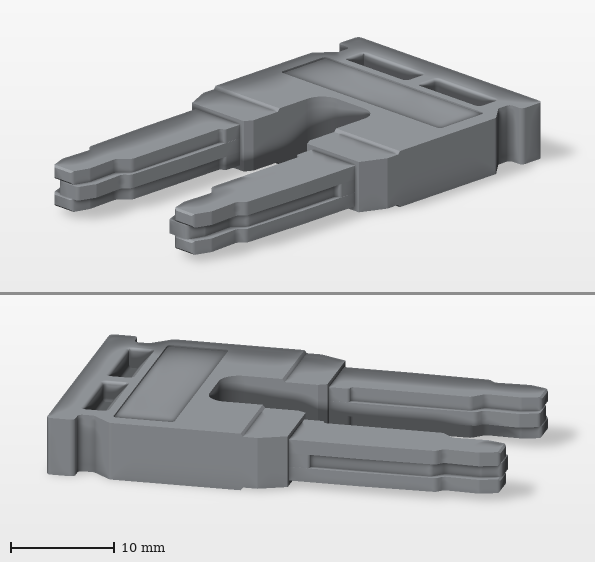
import cadquery as cq
TOTAL_WIDTH = 25.4
TOTAL_LENGTH = 44.52
HANDLE_THICKNESS = 5.8
HALF_WIDTH = TOTAL_WIDTH / 2
REAR_Y = TOTAL_LENGTH / 2
TIP_Y = -TOTAL_LENGTH / 2
TOP_Z = HANDLE_THICKNESS / 2

LIP_LENGTH = 2.8
NOTCH_DEPTH = 1.7
NOTCH_FLAT_END = 4.35
NOTCH_RAMP_END = 6.33
LIP_ROUND = 0.45
NOTCH_RAMP_ROUND = 0.5
HANDLE_LENGTH = 23.8
LEG_OUTER_BEVEL = (1.2, 2.7)
LEG_INNER_BEVEL = (0.45, 0.85)
GAP_HALF_WIDTH = 3.9
GAP_START = 13.58
GAP_ROUND = 2.0

STEP_START = 19.4
STEP_RUN = 0.25
STEP_HEIGHT = 0.3

WINDOW_START = 2.5
WINDOW_WIDTH = 2.85
WINDOW_INNER_X = 0.64
WINDOW_OUTER_X = 9.42
WINDOW_DEPTH = 2.0
WINDOW_MOUTH_ROUND = 0.6
WINDOW_RIM_ROUND = 0.3
WINDOW_RAMP = 1.0
WINDOW_FLOOR_ROUND = 0.28

LABEL_HALF_WIDTH = 11.0
LABEL_START = 6.2
LABEL_END = 12.3
LABEL_DEPTH = 0.2
LABEL_CORNER_ROUND = 0.4

PRONG_OUTER_X = 11.0
PRONG_TAPERED_X = 10.82
PRONG_INNER_X = 4.9
PRONG_STEP_X = 5.46
PRONG_AXIS_X = 7.94
PRONG_TAPER_START = 30.7
PRONG_STEP_START = 25.85
PRONG_STEP_ROUND = 0.27
NECK_OUTER_START = 38.4
NECK_INNER_START = 37.83
NECK_END = 39.03
NECK_OUTER_X = 10.12
NECK_INNER_X = 6.6
NECK_ROUND = 0.6
NOSE_START = 42.6
NOSE_OUTER_X = 10.28
NOSE_INNER_X = 6.48
TIP_OUTER_X = 9.6
TIP_INNER_X = 7.06
NOSE_ROUND = 0.4
LAYER_THICKNESS = 1.4
PRONG_OVERLAP = 1.0
TIP_BEVEL = 0.2


def along(distance):
    """Y coordinate at a distance from the rear edge."""
    return REAR_Y - distance


def both_sides(shape):
    """A shape together with its mirror image about X = 0."""
    return shape.union(shape.mirror("YZ"))


def round_vertical_edges(body, points, radius):
    """Round the vertical edges of a body that pass through the given XY points."""
    reach = 0.05
    for x, y in points:
        selector = cq.selectors.BoxSelector(
            (x - reach, y - reach, -TOP_Z), (x + reach, y + reach, TOP_Z)
        )
        body = body.edges("|Z").edges(selector).fillet(radius)
    return body


def handle_body():
    bevel_x, bevel_y = LEG_OUTER_BEVEL
    inner_x, inner_y = LEG_INNER_BEVEL
    notch_x = HALF_WIDTH - NOTCH_DEPTH
    half_outline = [
        (0, REAR_Y),
        (HALF_WIDTH, REAR_Y),
        (HALF_WIDTH, along(LIP_LENGTH)),
        (notch_x, along(LIP_LENGTH)),
        (notch_x, along(NOTCH_FLAT_END)),
        (HALF_WIDTH, along(NOTCH_RAMP_END)),
        (HALF_WIDTH, along(HANDLE_LENGTH - bevel_y)),
        (HALF_WIDTH - bevel_x, along(HANDLE_LENGTH)),
        (GAP_HALF_WIDTH + inner_x, along(HANDLE_LENGTH)),
        (GAP_HALF_WIDTH, along(HANDLE_LENGTH - inner_y)),
        (GAP_HALF_WIDTH, along(GAP_START)),
        (0, along(GAP_START)),
    ]
    half = cq.Workplane("XY").polyline(half_outline).close().extrude(TOP_Z, both=True)
    half = round_vertical_edges(half, half_outline[1:4], LIP_ROUND)
    half = round_vertical_edges(half, half_outline[4:6], NOTCH_RAMP_ROUND)
    half = round_vertical_edges(half, half_outline[10:11], GAP_ROUND)
    return both_sides(half)


def leg_step_cut():
    """Material removed from the upper and lower faces at the ends of the legs."""
    profile = [
        (along(STEP_START), TOP_Z),
        (along(STEP_START + STEP_RUN), TOP_Z - STEP_HEIGHT),
        (along(HANDLE_LENGTH), TOP_Z - STEP_HEIGHT),
        (along(HANDLE_LENGTH), TOP_Z),
    ]
    upper = cq.Workplane("YZ").polyline(profile).close().extrude(HALF_WIDTH, both=True)
    return upper.union(upper.mirror("XY"))


def window_plan(inset, height):
    """Rounded rectangle of the +X window, shrunk on all sides and extruded down from the top face."""
    length = WINDOW_OUTER_X - WINDOW_INNER_X
    centre_x = (WINDOW_OUTER_X + WINDOW_INNER_X) / 2
    centre_y = along(WINDOW_START + WINDOW_WIDTH / 2)
    return (
        cq.Workplane("XY", origin=(centre_x, centre_y, TOP_Z - height))
        .rect(length - 2 * inset, WINDOW_WIDTH - 2 * inset)
        .extrude(height)
        .edges("|Z")
        .fillet(WINDOW_MOUTH_ROUND - inset)
    )


def window_flare():
    """Opening with a convex rounded rim, as deep as the rim radius."""
    opening = window_plan(WINDOW_RIM_ROUND, 2 * WINDOW_RIM_ROUND)
    mouth = window_plan(0, WINDOW_RIM_ROUND)
    margin = 1.0
    frame = window_plan(-margin, 2 * WINDOW_RIM_ROUND).cut(opening)
    rim = cq.selectors.BoxSelector(
        (WINDOW_INNER_X, along(WINDOW_START + WINDOW_WIDTH), 0),
        (WINDOW_OUTER_X, along(WINDOW_START), 2 * TOP_Z),
    )
    frame = frame.faces(">Z").edges(rim).fillet(WINDOW_RIM_ROUND)
    return mouth.cut(frame)


def window_pocket():
    """Pocket with a 45 degree ramp in front; its floor is rounded except along the outer wall."""
    inner_x = WINDOW_INNER_X + WINDOW_RIM_ROUND
    outer_x = WINDOW_OUTER_X - WINDOW_RIM_ROUND
    rear = along(WINDOW_START) - WINDOW_RIM_ROUND
    front = along(WINDOW_START + WINDOW_WIDTH)
    floor_z = TOP_Z - WINDOW_DEPTH
    section = [
        (rear, TOP_Z),
        (front, TOP_Z),
        (front + WINDOW_RAMP, TOP_Z - WINDOW_RAMP),
        (front + WINDOW_RAMP, floor_z),
        (rear, floor_z),
    ]
    pocket = (
        cq.Workplane("YZ", origin=(inner_x, 0, 0)).polyline(section).close().extrude(outer_x - inner_x)
    )
    pocket = round_vertical_edges(pocket, [(inner_x, rear)], WINDOW_MOUTH_ROUND - WINDOW_RIM_ROUND)
    pocket = pocket.faces("<Z").edges("<X or |X").fillet(WINDOW_FLOOR_ROUND)
    return pocket.intersect(window_plan(0, WINDOW_DEPTH))


def window_cut():
    return both_sides(window_pocket().union(window_flare()))


def label_cut():
    return (
        cq.Workplane("XY", origin=(0, along((LABEL_START + LABEL_END) / 2), TOP_Z - LABEL_DEPTH))
        .rect(2 * LABEL_HALF_WIDTH, LABEL_END - LABEL_START)
        .extrude(LABEL_DEPTH)
        .edges("|Z")
        .fillet(LABEL_CORNER_ROUND)
    )


def prong_sheet():
    """One sheet of the +X prong, centred on its own mid-plane."""
    root = along(HANDLE_LENGTH - PRONG_OVERLAP)
    step_y = along(PRONG_STEP_START)
    step_corners = [
        (PRONG_STEP_X, step_y),
        (PRONG_INNER_X, step_y),
    ]
    neck_corners = [
        (PRONG_TAPERED_X, along(NECK_OUTER_START)),
        (NECK_OUTER_X, along(NECK_END)),
        (NECK_INNER_X, along(NECK_END)),
        (PRONG_STEP_X, along(NECK_INNER_START)),
    ]
    nose_corners = [
        (NOSE_OUTER_X, along(NOSE_START)),
        (TIP_OUTER_X, TIP_Y),
        (TIP_INNER_X, TIP_Y),
        (NOSE_INNER_X, along(NOSE_START)),
    ]
    outline = [
        (PRONG_OUTER_X, root),
        (PRONG_OUTER_X, along(PRONG_TAPER_START)),
        *neck_corners[:2],
        *nose_corners,
        *neck_corners[2:],
        *step_corners,
        (PRONG_INNER_X, root),
    ]
    sheet = cq.Workplane("XY").polyline(outline).close().extrude(LAYER_THICKNESS / 2, both=True)
    sheet = round_vertical_edges(sheet, step_corners, PRONG_STEP_ROUND)
    sheet = round_vertical_edges(sheet, neck_corners, NECK_ROUND)
    return round_vertical_edges(sheet, nose_corners, NOSE_ROUND)


def tip_bevel_cut():
    """Wedges that bevel the upper and lower edges at the tip of a sheet."""
    face_z = LAYER_THICKNESS / 2
    wedge = [
        (TIP_Y, face_z),
        (TIP_Y, face_z - TIP_BEVEL),
        (TIP_Y + TIP_BEVEL, face_z),
    ]
    upper = cq.Workplane("YZ").polyline(wedge).close().extrude(HALF_WIDTH)
    return upper.union(upper.mirror("XY"))


def prong():
    sheet = prong_sheet()
    mirrored = sheet.mirror("YZ", (PRONG_AXIS_X, 0, 0))
    bevelled = sheet.cut(tip_bevel_cut())
    upper = bevelled.translate((0, 0, LAYER_THICKNESS))
    lower = bevelled.translate((0, 0, -LAYER_THICKNESS))
    return mirrored.union(upper).union(lower)


handle = handle_body().cut(leg_step_cut()).cut(window_cut()).cut(label_cut())
result = handle.union(both_sides(prong()))